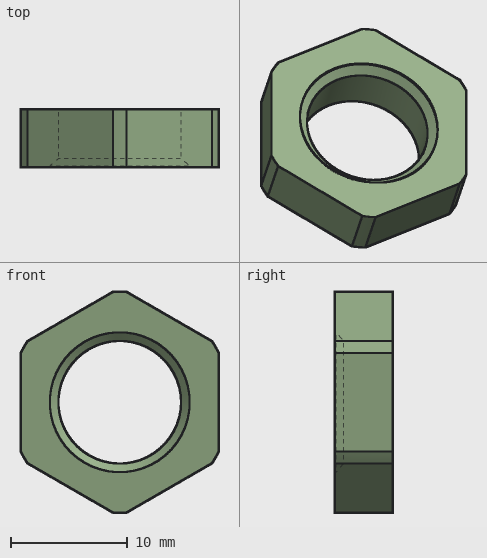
import cadquery as cq
import math

corner_diameter = 19.0
across_flats = 17.0
thickness = 5.0
bore_diameter = 10.5
countersink_diameter = 12.0
lip_depth = 0.13
countersink_depth = 0.76


def nut_blank():
    """Hexagon with corners up and down, trimmed to the corner round, centred on Y."""
    across_corners = across_flats / math.cos(math.pi / 6)
    hexagon = (
        cq.Workplane("XZ")
        .transformed(rotate=(0, 0, 90))
        .polygon(6, across_corners)
        .extrude(thickness / 2, both=True)
    )
    corner_round = cq.Workplane("XZ").circle(corner_diameter / 2).extrude(thickness / 2, both=True)
    return hexagon.intersect(corner_round)


def bore_cutter():
    """Through bore revolved about Y, with a shallow lip and a conical countersink at the -Y face."""
    front = -thickness / 2
    back = thickness / 2
    bore_radius = bore_diameter / 2
    mouth_radius = countersink_diameter / 2
    return (
        cq.Workplane("XY")
        .moveTo(0, front)
        .lineTo(mouth_radius, front)
        .lineTo(mouth_radius, front + lip_depth)
        .lineTo(bore_radius, front + countersink_depth)
        .lineTo(bore_radius, back)
        .lineTo(0, back)
        .close()
        .revolve(360, (0, 0, 0), (0, 1, 0))
    )


result = nut_blank().cut(bore_cutter())